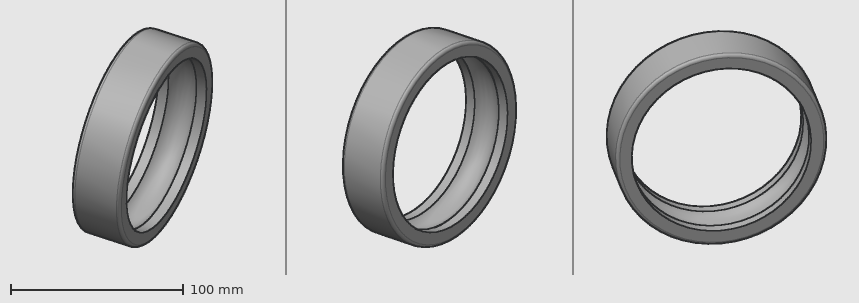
import cadquery as cq

outer_diameter = 124.7
bore_diameter = 105.9
width = 31.0
edge_radius = 2.1

groove_width = 18.0
groove_depth = 4.0

outer_radius = outer_diameter / 2
bore_radius = bore_diameter / 2
half_width = width / 2
half_groove = groove_width / 2


def ring_section():
    """Cross-section of the ring below its axis, with the ball groove in the bore edge."""
    return (
        cq.Workplane("XZ")
        .moveTo(-half_width, -bore_radius)
        .lineTo(-half_groove, -bore_radius)
        .threePointArc((0, -bore_radius - groove_depth), (half_groove, -bore_radius))
        .lineTo(half_width, -bore_radius)
        .lineTo(half_width, -outer_radius + edge_radius)
        .radiusArc((half_width - edge_radius, -outer_radius), edge_radius)
        .lineTo(-half_width + edge_radius, -outer_radius)
        .radiusArc((-half_width, -outer_radius + edge_radius), edge_radius)
        .close()
    )


result = ring_section().revolve(360, (0, 0, 0), (1, 0, 0))